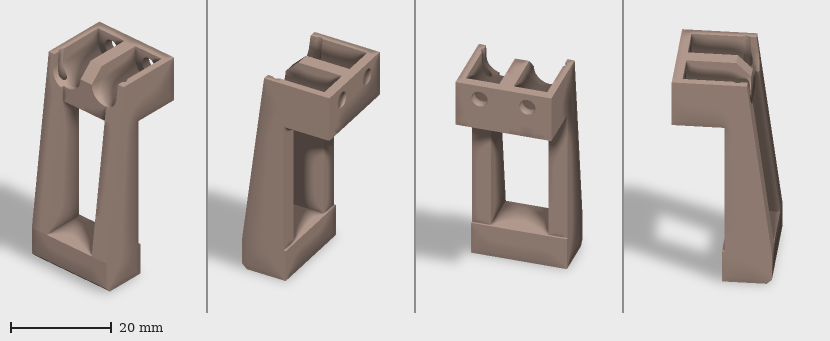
import cadquery as cq

width = 20.0
depth = 20.0
height = 46.0

head_depth = 15.0
head_height = 10.0

base_depth = 10.0
base_height = 7.0
base_chamfer = 1.0

leg_width = 4.0
leg_depth = 9.48

channel_width = 7.0
channel_spacing = 10.0
channel_axis_drop = 3.05
back_wall = 2.02
screw_hole_diameter = 3.4
rib_chamfer = 3.0

bore_diameter = 1.85
bore_inset = 2.02
bore_setback = 2.0
bore_depth = 27.6
bore_lean_in = 1.0
bore_lean_forward = 2.05
bore_lead = 0.05

head_front = depth - head_depth
head_bottom = height - head_height
channel_axis_z = height - channel_axis_drop


def box(x_size, y_min, y_max, z_min, z_max, x_center=0):
    """Box centred on x_center with explicit Y and Z limits."""
    return (
        cq.Workplane("XY", origin=(x_center, y_min, z_min))
        .box(x_size, y_max - y_min, z_max - z_min, centered=(True, False, False))
    )


def make_base():
    block = box(width, 0, base_depth, 0, base_height)
    return block.faces("<Y").edges("<Z").chamfer(base_chamfer)


def make_head():
    """Upper block with the front edge bevelled between the channels."""
    block = box(width, head_front, depth, head_bottom, height)
    rib_width = channel_spacing - channel_width
    bevel = (
        cq.Workplane("YZ")
        .moveTo(head_front, height)
        .lineTo(head_front + rib_chamfer, height)
        .lineTo(head_front, height - rib_chamfer)
        .close()
        .extrude(rib_width / 2, both=True)
    )
    return block.cut(bevel)


def make_leg(side):
    """Leg whose sloping front runs from the base up to the head's top edge."""
    outer_x = side * width / 2
    return (
        cq.Workplane("YZ", origin=(outer_x, 0, 0))
        .moveTo(0, base_height)
        .lineTo(leg_depth, base_height)
        .lineTo(leg_depth, head_bottom)
        .lineTo(head_front, height)
        .close()
        .extrude(-side * leg_width)
    )


def channel_cutter(side):
    """Round-bottomed open channel with a screw hole through the back wall."""
    x = side * channel_spacing / 2
    channel_end = depth - back_wall
    trough = (
        cq.Workplane("XZ", origin=(x, 0, channel_axis_z))
        .circle(channel_width / 2)
        .extrude(-channel_end)
    )
    opening = box(channel_width, 0, channel_end, channel_axis_z, height, x)
    screw_hole = (
        cq.Workplane("XZ", origin=(x, 0, channel_axis_z))
        .circle(screw_hole_diameter / 2)
        .extrude(-depth)
    )
    return trough.union(opening).union(screw_hole)


def bore_cutter(side):
    """Slightly leaning blind bore that breaks into the channel wall and runs down the leg."""
    top = cq.Vector(side * (width / 2 - bore_inset), head_front + bore_setback, height)
    axis = cq.Vector(-side * bore_lean_in, -bore_lean_forward, -bore_depth)
    start = top - axis * bore_lead
    length = axis.Length * (1 + bore_lead)
    return cq.Workplane(cq.Solid.makeCylinder(bore_diameter / 2, length, start, axis))


result = make_base().union(make_head())
for side in (-1, 1):
    result = result.union(make_leg(side))
for side in (-1, 1):
    result = result.cut(channel_cutter(side)).cut(bore_cutter(side))